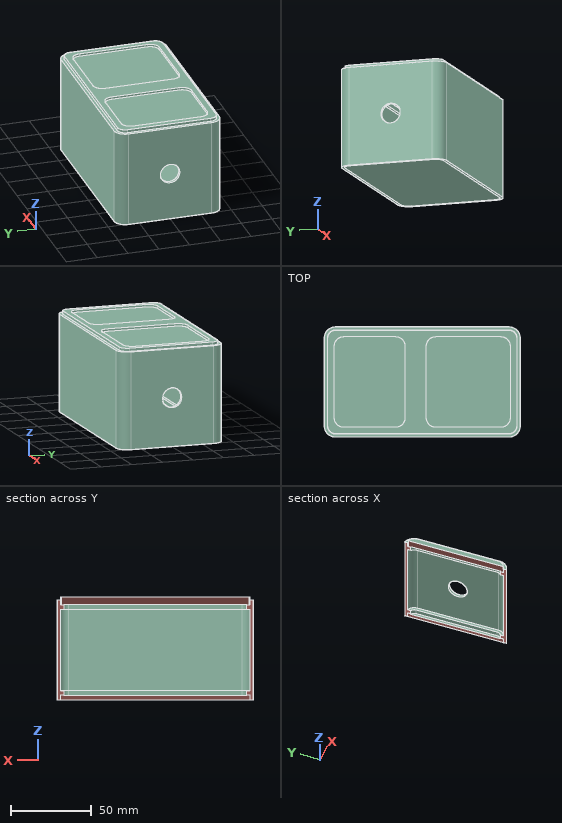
import cadquery as cq

LENGTH = 121.4
WIDTH = 68.3
TOTAL_HEIGHT = 64.0
LID_PROUD = 2.0
HOUSING_HEIGHT = TOTAL_HEIGHT - LID_PROUD

HOUSING_RADIUS = 7.2
LID_RADIUS = 5.0
LID_CLEARANCE = 0.2
OPENING_RADIUS = LID_RADIUS + LID_CLEARANCE
WALL = HOUSING_RADIUS - OPENING_RADIUS

LEDGE_WIDTH = 2.0
LEDGE_HEIGHT = 3.0
BASE_THICKNESS = 2.9
LID_SEAT_DEPTH = 2.9

CABLE_HOLE_DIAMETER = 12.5

POCKET_MARGIN = 4.0
POCKET_RADIUS = 6.0
POCKET_DEPTH = 1.6
LEFT_POCKET_LENGTH = 44.0
RIGHT_POCKET_LENGTH = 52.1


def rounded_block(length, width, corner_radius, bottom, top):
    """Upright block centred on the Z axis, with rounded vertical edges."""
    return (
        cq.Workplane("XY", origin=(0, 0, bottom))
        .rect(length, width)
        .extrude(top - bottom)
        .edges("|Z")
        .fillet(corner_radius)
    )


def inset_block(inset, bottom, top):
    """Rounded block whose outline lies a constant distance inside the housing outline."""
    return rounded_block(
        LENGTH - 2 * inset, WIDTH - 2 * inset, HOUSING_RADIUS - inset, bottom, top
    )


def make_housing():
    """Tube with a ledge near each end and a cable hole through both end walls."""
    lower_ledge_top = BASE_THICKNESS + LEDGE_HEIGHT
    lid_seat = HOUSING_HEIGHT - LID_SEAT_DEPTH
    upper_ledge_bottom = lid_seat - LEDGE_HEIGHT

    housing = inset_block(0, 0, HOUSING_HEIGHT)
    base_recess = inset_block(WALL, 0, BASE_THICKNESS)
    ledge_opening = inset_block(WALL + LEDGE_WIDTH, 0, HOUSING_HEIGHT)
    cavity = inset_block(WALL, lower_ledge_top, upper_ledge_bottom)
    lid_recess = inset_block(WALL, lid_seat, HOUSING_HEIGHT)
    cable_hole = (
        cq.Workplane("YZ", origin=(0, 0, HOUSING_HEIGHT / 2))
        .circle(CABLE_HOLE_DIAMETER / 2)
        .extrude(LENGTH / 2, both=True)
    )
    for cutter in (base_recess, ledge_opening, cavity, lid_recess, cable_hole):
        housing = housing.cut(cutter)
    return housing


def make_base_plate():
    """Flat plate that closes the bottom of the housing flush with its walls."""
    return inset_block(WALL, 0, BASE_THICKNESS)


def make_lid():
    """Plate resting on the upper ledge, with two rounded label pockets in its top."""
    lid_inset = WALL + LID_CLEARANCE
    lid = inset_block(lid_inset, HOUSING_HEIGHT - LID_SEAT_DEPTH, TOTAL_HEIGHT)

    pocket_end = LENGTH / 2 - lid_inset - POCKET_MARGIN
    pocket_width = WIDTH - 2 * (lid_inset + POCKET_MARGIN)
    pocket_floor = TOTAL_HEIGHT - POCKET_DEPTH
    for side, pocket_length in ((-1, LEFT_POCKET_LENGTH), (1, RIGHT_POCKET_LENGTH)):
        pocket = rounded_block(
            pocket_length, pocket_width, POCKET_RADIUS, pocket_floor, TOTAL_HEIGHT
        )
        lid = lid.cut(pocket.translate((side * (pocket_end - pocket_length / 2), 0, 0)))
    return lid


housing = make_housing()
base_plate = make_base_plate()
lid = make_lid()

result = cq.Compound.makeCompound([housing.val(), base_plate.val(), lid.val()])